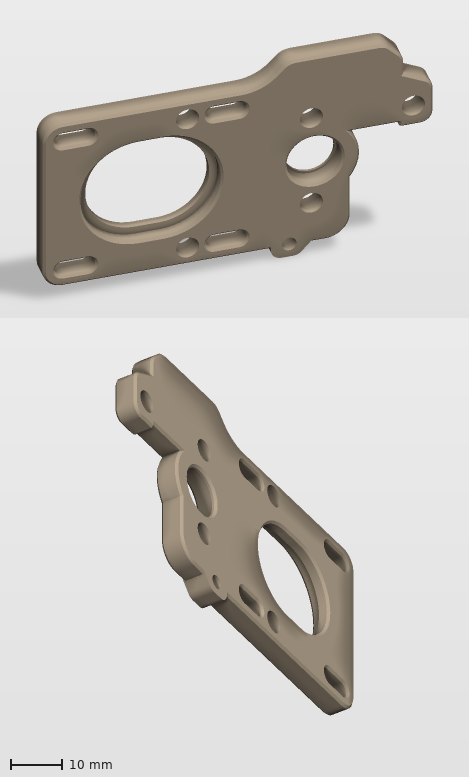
import cadquery as cq
import math

thickness = 5.0
edge_chamfer = 0.5

plate_half_height = 19.5
plate_right_y = -55.61
plate_left_y = 7.3
plate_right_radius = 4.0
plate_lower_left_radius = 5.0

shoulder_top_z = 25.0
shoulder_left_y = 18.22
shoulder_corner_cut = 3.7
shoulder_corner_radius = 3.0
ramp_top_y = -5.42
ramp_crest_radius = 4.0
ramp_foot_radius = 10.0

tab_left_y = 24.23
tab_slope_top_z = 17.1
tab_slope_angle = 26.0
tab_upper_radius = 2.5
tab_bottom_z = 4.4
tab_bottom_radius = 2.5
tab_notch_y = 17.3
tab_notch_z = 5.5
tab_notch_radius = 0.6

bulge_radius = 9.2
bore_diameter = 10.3
bearing_pocket_diameter = 11.3
bearing_web = 1.0

ear_bottom_z = -22.0
ear_right_y = -9.0
ear_left_y = -0.6
ear_slope_angle = 47.0
ear_radius = 2.2
ear_hole_diameter = 3.0
ear_hole_center = (-5.25, -19.0)

screw_hole_diameter = 4.7
tab_hole_center = (20.2, 9.13)
bearing_holes_center = (-0.7, 0.25)
bearing_hole_spacing = 20.5
motor_hole_y = -26.05

slot_travel = 5.0
mount_slot_width = 3.3
mount_spacing = 31.0
motor_center_y = -33.5
motor_opening_width = 20.4
motor_pocket_width = 23.7
motor_web = 2.3


def rounded_outline(corners):
    """Closed YZ wire through (y, z, radius) corners, each rounded by a tangent arc."""
    stretches = []
    for index, (y, z, radius) in enumerate(corners):
        corner = cq.Vector(y, z)
        before = cq.Vector(*corners[index - 1][:2])
        after = cq.Vector(*corners[(index + 1) % len(corners)][:2])
        to_before = (before - corner).normalized()
        to_after = (after - corner).normalized()
        half_angle = to_before.getAngle(to_after) / 2
        setback = radius / math.tan(half_angle)
        bisector = (to_before + to_after).normalized()
        arc_middle = corner + bisector * (radius / math.sin(half_angle) - radius)
        arc_start = corner + to_before * setback
        arc_end = corner + to_after * setback
        stretches.append((arc_start, arc_middle, arc_end, radius))

    first_start, _, _, _ = stretches[0]
    outline = cq.Workplane("YZ").moveTo(first_start.x, first_start.y)
    for index, (start, middle, end, radius) in enumerate(stretches):
        if index > 0:
            outline = outline.lineTo(start.x, start.y)
        if radius > 0:
            outline = outline.threePointArc((middle.x, middle.y), (end.x, end.y))
    return outline.close()


def plate_body():
    """Plate, shoulder and tab in one profile, joined with the bulge around the bore."""
    ramp_drop = shoulder_top_z - plate_half_height
    tab_slope_drop = (tab_left_y - shoulder_left_y) * math.tan(math.radians(tab_slope_angle))
    corners = [
        (plate_right_y, -plate_half_height, plate_right_radius),
        (plate_right_y, plate_half_height, plate_right_radius),
        (ramp_top_y - ramp_drop, plate_half_height, ramp_foot_radius),
        (ramp_top_y, shoulder_top_z, ramp_crest_radius),
        (shoulder_left_y - shoulder_corner_cut, shoulder_top_z, shoulder_corner_radius),
        (shoulder_left_y, shoulder_top_z - shoulder_corner_cut, shoulder_corner_radius),
        (shoulder_left_y, tab_slope_top_z, 0),
        (tab_left_y, tab_slope_top_z - tab_slope_drop, tab_upper_radius),
        (tab_left_y, tab_bottom_z, tab_bottom_radius),
        (tab_notch_y, tab_bottom_z, tab_notch_radius),
        (tab_notch_y, tab_notch_z, 0),
        (plate_left_y, tab_notch_z, 0),
        (plate_left_y, -plate_half_height, plate_lower_left_radius),
    ]
    bulge = cq.Workplane("YZ").circle(bulge_radius).extrude(thickness)
    return rounded_outline(corners).extrude(thickness).union(bulge)


def slot_cutter(centers, width, start=0.0):
    """Slots along Y at the given centres, reaching from X = start to the +X face."""
    plane = cq.Workplane("YZ", origin=(start, 0, 0))
    return plane.pushPoints(centers).slot2D(width + slot_travel, width).extrude(thickness - start)


def cut_shaft_bore(plate):
    """Shaft bore with a wider bearing pocket sunk from the +X face."""
    bore = cq.Workplane("YZ").circle(bore_diameter / 2).extrude(thickness)
    pocket = (
        cq.Workplane("YZ", origin=(bearing_web, 0, 0))
        .circle(bearing_pocket_diameter / 2)
        .extrude(thickness - bearing_web)
    )
    return plate.cut(bore).cut(pocket)


def cut_motor_opening(plate):
    """Elongated motor opening with a wider pocket sunk from the +X face."""
    center = [(motor_center_y, 0)]
    opening = slot_cutter(center, motor_opening_width)
    pocket = slot_cutter(center, motor_pocket_width, start=motor_web)
    return plate.cut(opening).cut(pocket)


def cut_mount_slots(plate):
    """Four mounting slots on a square pattern around the motor opening."""
    half_spacing = mount_spacing / 2
    centers = [
        (motor_center_y + side * half_spacing, level * half_spacing)
        for side in (-1, 1)
        for level in (-1, 1)
    ]
    return plate.cut(slot_cutter(centers, mount_slot_width))


def ear():
    """Small lug for the set screw hole, overlapping the plate above its lower edge."""
    root_z = -plate_half_height + edge_chamfer
    slope_run = (root_z - ear_bottom_z) / math.tan(math.radians(ear_slope_angle))
    corners = [
        (ear_left_y, root_z, 0),
        (ear_left_y - slope_run, ear_bottom_z, ear_radius),
        (ear_right_y, ear_bottom_z, ear_radius),
        (ear_right_y, root_z, 0),
    ]
    return rounded_outline(corners).extrude(thickness)


def plain_holes():
    """Unchamfered through holes."""
    bearing_y, bearing_z = bearing_holes_center
    screw_centers = [tab_hole_center]
    for level in (-1, 1):
        screw_centers.append((bearing_y, bearing_z + level * bearing_hole_spacing / 2))
        screw_centers.append((motor_hole_y, level * mount_spacing / 2))
    screw_holes = cq.Workplane("YZ").pushPoints(screw_centers).circle(screw_hole_diameter / 2)
    ear_hole = cq.Workplane("YZ").center(*ear_hole_center).circle(ear_hole_diameter / 2)
    return screw_holes.extrude(thickness).union(ear_hole.extrude(thickness))


plate = plate_body()
plate = cut_shaft_bore(plate)
plate = cut_motor_opening(plate)
plate = cut_mount_slots(plate)
plate = plate.faces("<X or >X").chamfer(edge_chamfer)
result = plate.union(ear()).cut(plain_holes())